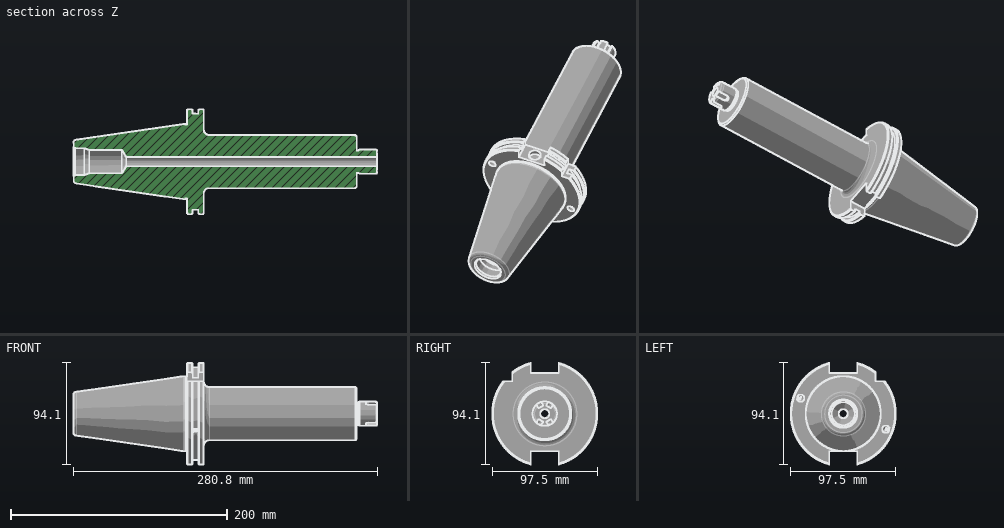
import cadquery as cq
import math


main_axis = ((0, 0, 0), (1, 0, 0))

drill_point_angle = 118.0
drill_point_slope = math.tan(math.radians(drill_point_angle / 2))

total_length = 280.8
gauge_x = 101.5
relief_x = 103.5
flange_x = 105.0
flange_width = 15.7
shank_end_x = 262.0
nut_x = 263.0

taper_slope = 7 / 24 / 2
gauge_radius = 34.8
taper_end_radius = gauge_radius - taper_slope * gauge_x
taper_end_fillet = 3.0
relief_radius = 34.3

flange_radius = 97.5 / 2
flange_chamfer = 0.8
groove_x = 113.0
groove_half_width = 2.5
groove_radius = 89.5 / 2
groove_lip = 0.8

slot_width = 25.5
upper_slot_floor = 37.5
lower_slot_floor = 34.8
notch_offset = 30.0

pocket_radius = 11.0 / 2
pocket_depth = 5.5
port_circle_radius = 41.8
port_radius = 3.5
port_angle = 20.0
vent_radius = 1.5

shank_radius = 24.7
root_fillet = 4.8
shank_chamfer = 1.5
neck_radius = 10.5

nut_radius = 22.7 / 2
nut_rear_chamfer = 0.8
nut_rear_chamfer_length = 1.7
nut_front_fillet = 1.7
nut_slot_width = 5.0
nut_slot_depth = 4.2
nut_slot_length = 10.7
nut_slot_angles = (30, 150, 210, 330)

mouth_radius = 13.2
mouth_length = 2.0
counterbore_radius = 12.4
counterbore_depth = 10.0
step_length = 4.5
thread_radius = 10.7
thread_depth = 45.0
through_radius = 8.1 / 2

flange_end_x = flange_x + flange_width
groove_rear = groove_x - groove_half_width
groove_front = groove_x + groove_half_width
arc_middle = 1 - math.sqrt(0.5)


def make_body():
    """Turned outline from the small taper end to the nut, without bore or cuts."""
    lip_radius = flange_radius - groove_lip
    chamfer_radius = flange_radius - flange_chamfer
    root_arc_offset = root_fillet * arc_middle
    front_arc_offset = nut_front_fillet * arc_middle
    profile = (
        cq.Workplane("XY")
        .lineTo(0, taper_end_radius)
        .lineTo(gauge_x, gauge_radius)
        .lineTo(relief_x, gauge_radius)
        .lineTo(relief_x, relief_radius)
        .lineTo(flange_x, relief_radius)
        .lineTo(flange_x, chamfer_radius)
        .lineTo(flange_x + flange_chamfer, flange_radius)
        .lineTo(groove_rear - groove_lip, flange_radius)
        .lineTo(groove_rear, lip_radius)
        .lineTo(groove_rear, groove_radius)
        .lineTo(groove_front, groove_radius)
        .lineTo(groove_front, lip_radius)
        .lineTo(groove_front + groove_lip, flange_radius)
        .lineTo(flange_end_x - flange_chamfer, flange_radius)
        .lineTo(flange_end_x, chamfer_radius)
        .lineTo(flange_end_x, shank_radius + root_fillet)
        .threePointArc(
            (flange_end_x + root_arc_offset, shank_radius + root_arc_offset),
            (flange_end_x + root_fillet, shank_radius),
        )
        .lineTo(shank_end_x - shank_chamfer, shank_radius)
        .lineTo(shank_end_x, shank_radius - shank_chamfer)
        .lineTo(shank_end_x, neck_radius)
        .lineTo(nut_x, neck_radius)
        .lineTo(nut_x, nut_radius - nut_rear_chamfer)
        .lineTo(nut_x + nut_rear_chamfer_length, nut_radius)
        .lineTo(total_length - nut_front_fillet, nut_radius)
        .threePointArc(
            (total_length - front_arc_offset, nut_radius - front_arc_offset),
            (total_length, nut_radius - nut_front_fillet),
        )
        .lineTo(total_length, 0)
        .close()
    )
    body = profile.revolve(360, *main_axis)
    return body.faces("<X").edges().fillet(taper_end_fillet)


def make_bore():
    """Stepped bore at the taper end, narrowing to a hole through the whole part."""
    point_depth = (thread_radius - through_radius) / drill_point_slope
    profile = (
        cq.Workplane("XY")
        .lineTo(0, mouth_radius)
        .lineTo(mouth_length, counterbore_radius)
        .lineTo(counterbore_depth, counterbore_radius)
        .lineTo(counterbore_depth + step_length, thread_radius)
        .lineTo(thread_depth, thread_radius)
        .lineTo(thread_depth + point_depth, through_radius)
        .lineTo(total_length, through_radius)
        .lineTo(total_length, 0)
        .close()
    )
    return profile.revolve(360, *main_axis)


def flange_block(width, height, y_middle, z_floor):
    """Block as long as the flange, standing on the height z_floor."""
    block = cq.Workplane("XY", origin=(flange_x, y_middle, z_floor))
    return block.box(flange_width, width, height, centered=(False, True, False))


def make_flange_cuts():
    """Two opposite drive slots, a corner notch and a round pocket in the upper slot floor."""
    reach = flange_radius
    upper_slot = flange_block(slot_width, reach, 0, upper_slot_floor)
    lower_slot = flange_block(slot_width, reach, 0, -lower_slot_floor - reach)
    notch = flange_block(reach, reach, -notch_offset - reach / 2, notch_offset)
    pocket = (
        cq.Workplane("XY", origin=(groove_x, 0, upper_slot_floor))
        .circle(pocket_radius)
        .extrude(-pocket_depth)
    )
    return upper_slot.union(lower_slot).union(notch).union(pocket)


def make_ports():
    """Two opposite blind ports in the rear face, each vented to the groove floor."""
    point_x = groove_rear + port_radius / drill_point_slope
    port = (
        cq.Workplane("XY")
        .moveTo(flange_x, port_circle_radius)
        .lineTo(flange_x, port_circle_radius + port_radius)
        .lineTo(groove_rear, port_circle_radius + port_radius)
        .lineTo(point_x, port_circle_radius)
        .close()
        .revolve(360, (flange_x, port_circle_radius, 0), (point_x, port_circle_radius, 0))
    )
    vent = (
        cq.Workplane("XZ", origin=(groove_x, port_circle_radius, 0))
        .circle(vent_radius)
        .extrude(port_circle_radius - flange_radius)
    )
    first = port.union(vent).rotate(*main_axis, port_angle)
    return first.union(first.rotate(*main_axis, 180))


def make_nut_slots():
    """Slots cut from the front of the nut, each ending in a half round."""
    slot_rear = total_length - nut_slot_length
    slot_floor = nut_radius - nut_slot_depth
    end_radius = nut_slot_width / 2
    cutter = (
        cq.Workplane("XY", origin=(0, 0, slot_floor))
        .moveTo(total_length, end_radius)
        .lineTo(slot_rear + end_radius, end_radius)
        .threePointArc((slot_rear, 0), (slot_rear + end_radius, -end_radius))
        .lineTo(total_length, -end_radius)
        .close()
        .extrude(nut_radius)
    )
    slots = cq.Workplane("XY")
    for angle in nut_slot_angles:
        slots = slots.add(cutter.rotate(*main_axis, angle))
    return slots.combine()


result = (
    make_body()
    .cut(make_bore())
    .cut(make_flange_cuts())
    .cut(make_ports())
    .cut(make_nut_slots())
)